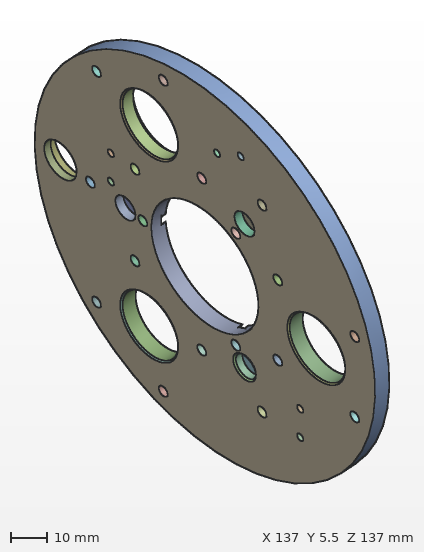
import cadquery as cq
import math

disc_diameter = 137.0
thickness = 5.5
front_y = -thickness / 2
back_y = thickness / 2
overcut = 1.4

centre_bore_diameter = 43.0
sector_count = 3
sector_angle = 360 / sector_count

window_diameter = 22.3
window_rim_diameter = 23.3
window_back_rim_diameter = 24.4
window_radius = 44.8
bolt_half_pitch = 15.5

bolt_diameter = 3.5
outer_bolt_radius = 46.0
inner_bolt_radius = 25.0
inner_bolt_head_diameter = 7.5
inner_bolt_head_depth = 1.6

pocket_diameter = 8.1
pocket_radius = 31.9
pocket_depth = 3.0
chamfered_pocket_angle = 300
chamfered_pocket_rim_diameter = 9.2

pin_diameter = 2.5
pin_pitch = 11.0
pin_pair_x = 38.4
pin_pair_z = -33.3
left_pin_pair_x = -37.8
left_pin_pair_z = 11.5

side_hole_diameter = 13.0
side_hole_x = -58.1
side_counterbore_diameter = 16.0
side_counterbore_depth = 3.0


def rotated(x, z, angle):
    """Turn a point about the disc axis by an angle in degrees."""
    turn = math.radians(angle)
    return (
        x * math.cos(turn) - z * math.sin(turn),
        x * math.sin(turn) + z * math.cos(turn),
    )


def cylinder(point, diameter, start_y, end_y):
    """Cylinder along Y, centred on an (x, z) point."""
    base = cq.Vector(point[0], start_y, point[1])
    axis = cq.Vector(0, 1, 0)
    return cq.Workplane(cq.Solid.makeCylinder(diameter / 2, end_y - start_y, base, axis))


def through_hole(point, diameter):
    return cylinder(point, diameter, front_y - overcut, back_y + overcut)


def front_pocket(point, diameter, depth):
    return cylinder(point, diameter, front_y - overcut, front_y + depth)


def back_counterbore(point, diameter, depth):
    return cylinder(point, diameter, back_y - depth, back_y + overcut)


def back_chamfer(point, rim_diameter, hole_diameter):
    """45 degree cone that opens a hole at the back face."""
    depth = (rim_diameter - hole_diameter) / 2
    base = cq.Vector(point[0], back_y, point[1])
    axis = cq.Vector(0, -1, 0)
    return cq.Workplane(cq.Solid.makeCone(rim_diameter / 2, hole_diameter / 2, depth, base, axis))


def front_chamfer(point, rim_diameter, hole_diameter):
    """45 degree cone that opens a hole at the front face."""
    depth = (rim_diameter - hole_diameter) / 2
    base = cq.Vector(point[0], front_y, point[1])
    axis = cq.Vector(0, 1, 0)
    return cq.Workplane(cq.Solid.makeCone(rim_diameter / 2, hole_diameter / 2, depth, base, axis))


plate = cylinder((0, 0), disc_diameter, front_y, back_y)
plate = plate.cut(through_hole((0, 0), centre_bore_diameter))

for sector in range(sector_count):
    angle = sector * sector_angle
    window = rotated(window_radius, 0, angle)
    plate = plate.cut(through_hole(window, window_diameter))
    plate = plate.cut(front_chamfer(window, window_rim_diameter, window_diameter))
    for x_side in (-1, 1):
        for z_side in (-1, 1):
            bolt_x = window_radius + x_side * bolt_half_pitch
            bolt = rotated(bolt_x, z_side * bolt_half_pitch, angle)
            plate = plate.cut(through_hole(bolt, bolt_diameter))

upper_left_window = rotated(window_radius, 0, sector_angle)
plate = plate.cut(back_chamfer(upper_left_window, window_back_rim_diameter, window_diameter))

for sector in range(sector_count):
    angle = (sector + 0.5) * sector_angle
    inner_bolt = rotated(inner_bolt_radius, 0, angle)
    outer_bolt = rotated(outer_bolt_radius, 0, angle)
    pocket = rotated(pocket_radius, 0, angle)
    plate = plate.cut(through_hole(inner_bolt, bolt_diameter))
    plate = plate.cut(back_counterbore(inner_bolt, inner_bolt_head_diameter, inner_bolt_head_depth))
    plate = plate.cut(through_hole(outer_bolt, bolt_diameter))
    plate = plate.cut(front_pocket(pocket, pocket_diameter, pocket_depth))

chamfered_pocket = rotated(pocket_radius, 0, chamfered_pocket_angle)
plate = plate.cut(front_chamfer(chamfered_pocket, chamfered_pocket_rim_diameter, pocket_diameter))

for side in (-1, 1):
    offset = side * pin_pitch / 2
    for angle in (0, sector_angle):
        pin = rotated(pin_pair_x, pin_pair_z + offset, angle)
        plate = plate.cut(through_hole(pin, pin_diameter))
    left_pin = (left_pin_pair_x, left_pin_pair_z + offset)
    plate = plate.cut(through_hole(left_pin, pin_diameter))

side_hole = (side_hole_x, 0)
plate = plate.cut(through_hole(side_hole, side_hole_diameter))
plate = plate.cut(back_counterbore(side_hole, side_counterbore_diameter, side_counterbore_depth))

result = plate